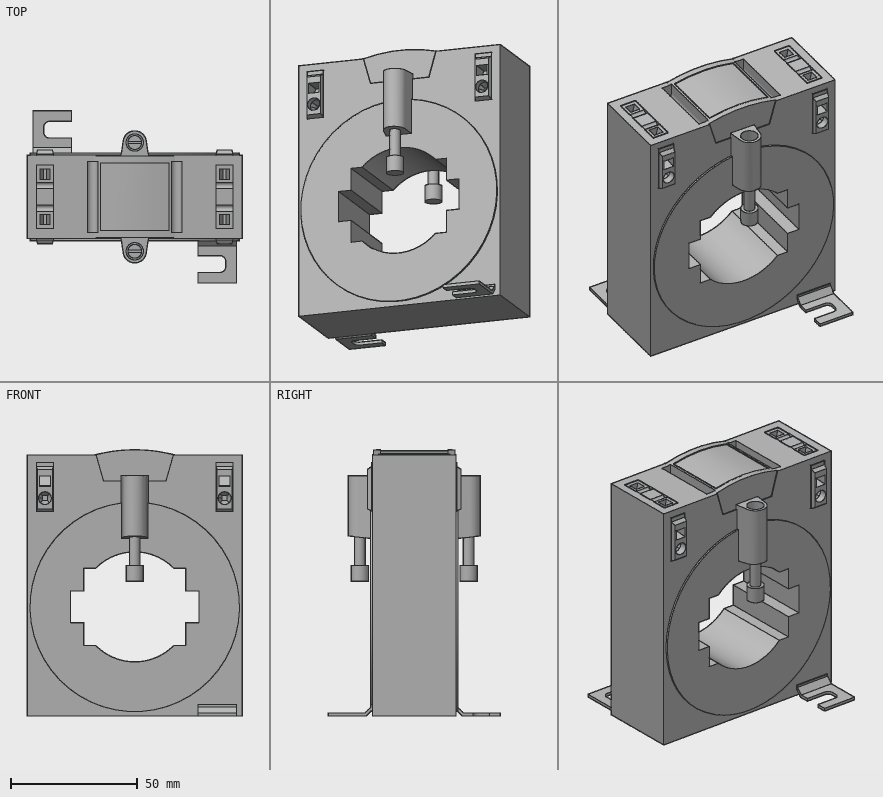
import cadquery as cq
import math


TOTAL_HEIGHT = 105.2
HOUSING_WIDTH = 85.0
HOUSING_DEPTH = 33.0
SHOULDER_Z = 103.1
CROWN_HALF_WIDTH = 16.0
HALF_DEPTH = HOUSING_DEPTH / 2
CROWN_RISE = TOTAL_HEIGHT - SHOULDER_Z
CROWN_RADIUS = (CROWN_HALF_WIDTH ** 2 + CROWN_RISE ** 2) / (2 * CROWN_RISE)

WINDOW_Z = 43.1
RING_RADIUS = 41.3
RING_HEIGHT = 0.8
WINDOW_RADIUS = 21.7
WIDE_BAR = (50.7, 12.4)
TALL_BAR = (40.2, 30.4)

TRAPEZOID_DEPTH = 0.4
TRAPEZOID_BOTTOM_Z = 92.8
TRAPEZOID_BOTTOM_HALF = 12.3
TRAPEZOID_TOP_HALF = 15.3

LABEL_WIDTH = 26.9
LABEL_LENGTH = 26.7
LABEL_DEPTH = 0.4
CROWN_SLOT_X = 16.6
CROWN_SLOT_WIDTH = 4.2
CROWN_SLOT_LENGTH = 28.1
CROWN_SLOT_DEPTH = 6.3

SCREW_Y = 21.5
LUG_TIP_RADIUS = 4.6
LUG_ROOT_HALF = 5.5
LUG_TOP_Z = 94.9
LUG_TIP_BOTTOM_Z = 71.1
LUG_ROOT_BOTTOM_Z = 69.9
ACCESS_DIAMETER = 6.8
ACCESS_DEPTH = 8.4
HEAD_DIAMETER = 5.5
HEAD_HEIGHT = 4.2
HEAD_SLOT_WIDTH = 0.9
HEAD_SLOT_DEPTH = 1.0
SHANK_DIAMETER = 4.3
TIP_DIAMETER = 6.8
TIP_TOP_Z = 59.5
TIP_BOTTOM_Z = 53.2
HEAD_TOP_Z = LUG_TOP_Z - ACCESS_DEPTH
HEAD_BOTTOM_Z = HEAD_TOP_Z - HEAD_HEIGHT

FOOT_INNER_X = 24.9
FOOT_WIDTH = 15.3
FEET_SPAN = 68.0
FOOT_END_Y = FEET_SPAN / 2
FOOT_THICKNESS = 1.3
FOOT_BEND_Y = 18.9
FOOT_BEND_ANGLE = 45
FOOT_FLANGE_THICKNESS = 0.5
FOOT_TOP_Z = 4.5
FOOT_SLOT_WIDTH = 6.5
FOOT_SLOT_LENGTH = 10.9
FOOT_SLOT_Y = 26.5
FOOT_SLOT_CORNER = 2.2

TERMINAL_X = 35.4
TERMINAL_WIDTH = 6.8
TERMINAL_INNER_Y = 5.7
TERMINAL_OUTER_Y = 12.5
TERMINAL_TOP_RECESS = 0.3
TERMINAL_TOP_Z = SHOULDER_Z - TERMINAL_TOP_RECESS
NOSE_TOP_Z = 100.1
NOSE_BOTTOM_Z = 80.8
NOSE_BAND_HEIGHT = 0.4
NOSE_STEP_Y = HALF_DEPTH + NOSE_BAND_HEIGHT
NOSE_FACE_Y = 18.5
NOSE_BAND_BOTTOM_Z = 98.5
NOSE_FACE_TOP_Z = 97.4
NOSE_FACE_BOTTOM_Z = 81.8
NOSE_SIDE_TAPER = 0.5

WIRE_WIDTH = 4.4
WIRE_TOP_Z = 94.8
WIRE_BOTTOM_Z = 90.7
WIRE_DEPTH = 8.4
WIRE_RAMP_Z = 91.1
WIRE_RAMP_DEPTH = 5.3
RELEASE_RADIUS = 2.5
RELEASE_Z = 86.0
RELEASE_FLOOR = 2.0
RELEASE_ROUND_DEPTH = 3.2
RELEASE_TAPER_DEPTH = 3.2
TEST_SIZE = 4.0
TEST_Y = 8.9
TEST_FLOOR_WIDTH = 1.3
TEST_DEPTH = 6.3

TROUGH_INNER_Y = 3.3
TROUGH_DEPTH = 0.9


def ring():
    length = HOUSING_DEPTH + 2 * RING_HEIGHT
    return (
        cq.Workplane("XZ", origin=(0, length / 2, WINDOW_Z))
        .circle(RING_RADIUS)
        .extrude(length)
    )


def window():
    length = HOUSING_DEPTH + 4 * RING_HEIGHT
    plane = cq.Workplane("XZ", origin=(0, length / 2, WINDOW_Z))
    opening = plane.rect(*WIDE_BAR).extrude(length).union(plane.rect(*TALL_BAR).extrude(length))
    barrel = plane.circle(WINDOW_RADIUS).extrude(length)
    strip = plane.rect(TALL_BAR[0], 2 * WINDOW_RADIUS).extrude(length)
    return opening.union(barrel.intersect(strip))


def crowned_block():
    half = HOUSING_WIDTH / 2
    return (
        cq.Workplane("XZ", origin=(0, HALF_DEPTH, 0))
        .moveTo(-half, 0)
        .lineTo(half, 0)
        .lineTo(half, SHOULDER_Z)
        .lineTo(CROWN_HALF_WIDTH, SHOULDER_Z)
        .threePointArc((0, TOTAL_HEIGHT), (-CROWN_HALF_WIDTH, SHOULDER_Z))
        .lineTo(-half, SHOULDER_Z)
        .close()
        .extrude(HOUSING_DEPTH)
    )


def trapezoid_recess(side):
    """Shallow recess under the crown; its sides run on at the same slope past the top."""
    slope = (TRAPEZOID_TOP_HALF - TRAPEZOID_BOTTOM_HALF) / (SHOULDER_Z - TRAPEZOID_BOTTOM_Z)
    end_z = TOTAL_HEIGHT
    end_half = TRAPEZOID_BOTTOM_HALF + slope * (end_z - TRAPEZOID_BOTTOM_Z)
    return (
        cq.Workplane("XZ", origin=(0, side * HALF_DEPTH, 0))
        .polyline([
            (-TRAPEZOID_BOTTOM_HALF, TRAPEZOID_BOTTOM_Z),
            (TRAPEZOID_BOTTOM_HALF, TRAPEZOID_BOTTOM_Z),
            (end_half, end_z),
            (-end_half, end_z),
        ])
        .close()
        .extrude(side * TRAPEZOID_DEPTH)
    )


def label_recess():
    """Field of even depth below the curved crown."""
    floor_radius = CROWN_RADIUS - LABEL_DEPTH
    plane = cq.Workplane("XZ", origin=(0, LABEL_LENGTH / 2, TOTAL_HEIGHT - CROWN_RADIUS))
    shell = plane.circle(CROWN_RADIUS + LABEL_DEPTH).circle(floor_radius).extrude(LABEL_LENGTH)
    field = cq.Workplane("XY", origin=(0, 0, TOTAL_HEIGHT)).box(
        LABEL_WIDTH, LABEL_LENGTH, 2 * (CROWN_RISE + LABEL_DEPTH)
    )
    return shell.intersect(field)


def crown_slot(side):
    radius = CROWN_SLOT_WIDTH / 2
    x = side * CROWN_SLOT_X
    arc_z = SHOULDER_Z - CROWN_SLOT_DEPTH + radius
    return (
        cq.Workplane("XZ", origin=(x, CROWN_SLOT_LENGTH / 2, 0))
        .moveTo(-radius, TOTAL_HEIGHT)
        .lineTo(-radius, arc_z)
        .threePointArc((0, arc_z - radius), (radius, arc_z))
        .lineTo(radius, TOTAL_HEIGHT)
        .close()
        .extrude(CROWN_SLOT_LENGTH)
    )


def terminal_bridge_recess(side):
    """Recess over the bridge between two terminals, with a round trough next to each terminal."""
    x = side * TERMINAL_X
    recess = (
        cq.Workplane("XY", origin=(x, 0, TERMINAL_TOP_Z))
        .rect(TERMINAL_WIDTH, 2 * TERMINAL_OUTER_Y)
        .extrude(TERMINAL_TOP_RECESS)
    )
    middle_y = (TROUGH_INNER_Y + TERMINAL_INNER_Y) / 2
    for end in (-1, 1):
        trough = (
            cq.Workplane("YZ", origin=(x - TERMINAL_WIDTH / 2, 0, 0))
            .moveTo(end * TROUGH_INNER_Y, TERMINAL_TOP_Z)
            .threePointArc(
                (end * middle_y, TERMINAL_TOP_Z - TROUGH_DEPTH),
                (end * TERMINAL_INNER_Y, TERMINAL_TOP_Z),
            )
            .close()
            .extrude(TERMINAL_WIDTH)
        )
        recess = recess.union(trough)
    return recess


def lug():
    """Clamping lug on the +Y face: tapered sides that run tangent into a round tip."""
    root_y = HALF_DEPTH - TRAPEZOID_DEPTH
    reach = SCREW_Y - root_y
    root_distance = math.hypot(LUG_ROOT_HALF, reach)
    tangent_angle = math.acos(LUG_TIP_RADIUS / root_distance) - math.atan2(reach, LUG_ROOT_HALF)
    tangent_x = LUG_TIP_RADIUS * math.cos(tangent_angle)
    tangent_y = SCREW_Y + LUG_TIP_RADIUS * math.sin(tangent_angle)
    tip_y = SCREW_Y + LUG_TIP_RADIUS

    outline = (
        cq.Workplane("XY", origin=(0, 0, LUG_ROOT_BOTTOM_Z))
        .moveTo(-LUG_ROOT_HALF, root_y)
        .lineTo(LUG_ROOT_HALF, root_y)
        .lineTo(tangent_x, tangent_y)
        .threePointArc((0, tip_y), (-tangent_x, tangent_y))
        .close()
        .extrude(LUG_TOP_Z - LUG_ROOT_BOTTOM_Z)
    )
    sloped_underside = (
        cq.Workplane("YZ", origin=(-LUG_ROOT_HALF, 0, 0))
        .polyline([
            (root_y, LUG_ROOT_BOTTOM_Z),
            (tip_y, LUG_ROOT_BOTTOM_Z),
            (tip_y, LUG_TIP_BOTTOM_Z),
        ])
        .close()
        .extrude(2 * LUG_ROOT_HALF)
    )
    access = (
        cq.Workplane("XY", origin=(0, SCREW_Y, HEAD_TOP_Z))
        .circle(ACCESS_DIAMETER / 2)
        .extrude(ACCESS_DEPTH)
    )
    return outline.cut(sloped_underside).cut(access).cut(screw_blank())


def screw_blank():
    """Screw on the +Y side without its driver slot."""
    def stage(diameter, bottom_z, top_z):
        return (
            cq.Workplane("XY", origin=(0, SCREW_Y, bottom_z))
            .circle(diameter / 2)
            .extrude(top_z - bottom_z)
        )

    head = stage(HEAD_DIAMETER, HEAD_BOTTOM_Z, HEAD_TOP_Z)
    shank = stage(SHANK_DIAMETER, TIP_TOP_Z, HEAD_BOTTOM_Z)
    tip = stage(TIP_DIAMETER, TIP_BOTTOM_Z, TIP_TOP_Z)
    return head.union(shank).union(tip)


def screw():
    driver_slot = cq.Workplane("XY", origin=(0, SCREW_Y, HEAD_TOP_Z)).box(
        HEAD_DIAMETER, HEAD_SLOT_WIDTH, 2 * HEAD_SLOT_DEPTH
    )
    return screw_blank().cut(driver_slot)


def foot():
    """Bent strip at the (-X, +Y) corner with a slot open towards +X."""
    flange_y = HALF_DEPTH + FOOT_FLANGE_THICKNESS
    bend_top_y = FOOT_BEND_Y + FOOT_THICKNESS * math.tan(math.radians(FOOT_BEND_ANGLE / 2))
    bend_slope = math.tan(math.radians(FOOT_BEND_ANGLE))
    strip = (
        cq.Workplane("YZ", origin=(-FOOT_INNER_X - FOOT_WIDTH, 0, 0))
        .polyline([
            (FOOT_END_Y, 0),
            (FOOT_END_Y, FOOT_THICKNESS),
            (bend_top_y, FOOT_THICKNESS),
            (flange_y, FOOT_THICKNESS + bend_slope * (bend_top_y - flange_y)),
            (flange_y, FOOT_TOP_Z),
            (HALF_DEPTH, FOOT_TOP_Z),
            (HALF_DEPTH, bend_slope * (FOOT_BEND_Y - HALF_DEPTH)),
            (FOOT_BEND_Y, 0),
        ])
        .close()
        .extrude(FOOT_WIDTH)
    )
    slot = (
        cq.Workplane("XY", origin=(-FOOT_INNER_X - FOOT_SLOT_LENGTH / 2, FOOT_SLOT_Y, 0))
        .rect(FOOT_SLOT_LENGTH, FOOT_SLOT_WIDTH)
        .extrude(FOOT_THICKNESS)
        .edges("|Z and <X")
        .fillet(FOOT_SLOT_CORNER)
    )
    return strip.cut(slot)


def terminal_blank():
    """Terminal on the +Y side, centred on X = 0, without its openings."""
    half = TERMINAL_WIDTH / 2
    profile = (
        cq.Workplane("YZ", origin=(-half, 0, 0))
        .polyline([
            (TERMINAL_INNER_Y, NOSE_BOTTOM_Z),
            (HALF_DEPTH, NOSE_BOTTOM_Z),
            (NOSE_FACE_Y, NOSE_FACE_BOTTOM_Z),
            (NOSE_FACE_Y, NOSE_FACE_TOP_Z),
            (NOSE_STEP_Y, NOSE_BAND_BOTTOM_Z),
            (NOSE_STEP_Y, NOSE_TOP_Z),
            (TERMINAL_OUTER_Y, NOSE_TOP_Z),
            (TERMINAL_OUTER_Y, TERMINAL_TOP_Z),
            (TERMINAL_INNER_Y, TERMINAL_TOP_Z),
        ])
        .close()
        .extrude(TERMINAL_WIDTH)
    )
    face_half = half - NOSE_SIDE_TAPER
    plan = (
        cq.Workplane("XY", origin=(0, 0, NOSE_BOTTOM_Z))
        .polyline([
            (-half, TERMINAL_INNER_Y),
            (half, TERMINAL_INNER_Y),
            (half, NOSE_STEP_Y),
            (face_half, NOSE_FACE_Y),
            (-face_half, NOSE_FACE_Y),
            (-half, NOSE_STEP_Y),
        ])
        .close()
        .extrude(TERMINAL_TOP_Z - NOSE_BOTTOM_Z)
    )
    return profile.intersect(plan)


def terminal():
    wire_entry = (
        cq.Workplane("YZ", origin=(-WIRE_WIDTH / 2, 0, 0))
        .polyline([
            (NOSE_FACE_Y, WIRE_BOTTOM_Z),
            (NOSE_FACE_Y, WIRE_TOP_Z),
            (NOSE_FACE_Y - WIRE_DEPTH, WIRE_TOP_Z),
            (NOSE_FACE_Y - WIRE_RAMP_DEPTH, WIRE_RAMP_Z),
        ])
        .close()
        .extrude(WIRE_WIDTH)
    )
    release = (
        cq.Workplane("XZ", origin=(0, NOSE_FACE_Y, RELEASE_Z))
        .circle(RELEASE_RADIUS)
        .extrude(RELEASE_ROUND_DEPTH)
        .faces("<Y")
        .workplane(centerOption="CenterOfBoundBox")
        .circle(RELEASE_RADIUS)
        .workplane(offset=RELEASE_TAPER_DEPTH)
        .rect(RELEASE_FLOOR, RELEASE_FLOOR)
        .loft(combine=True)
    )
    test_opening = (
        cq.Workplane("XZ", origin=(0, TEST_Y + TEST_SIZE / 2, TERMINAL_TOP_Z))
        .polyline([
            (-TEST_SIZE / 2, 0),
            (TEST_SIZE / 2, 0),
            (TEST_FLOOR_WIDTH / 2, -TEST_DEPTH),
            (-TEST_FLOOR_WIDTH / 2, -TEST_DEPTH),
        ])
        .close()
        .extrude(TEST_SIZE)
    )
    return terminal_blank().cut(wire_entry).cut(release).cut(test_opening)


def half_turn(body):
    return body.rotate((0, 0, 0), (0, 0, 1), 180)


def at_four_corners(body):
    """Copies of a +Y side body at both ends of both faces."""
    copies = []
    for oriented in (body, half_turn(body)):
        for side in (-1, 1):
            copies.append(oriented.translate((side * TERMINAL_X, 0, 0)))
    return copies


def housing():
    body = crowned_block().union(ring())
    for side in (-1, 1):
        body = body.cut(trapezoid_recess(side))
        body = body.cut(crown_slot(side))
        body = body.cut(terminal_bridge_recess(side))
    body = body.cut(label_recess())
    for pocket in at_four_corners(terminal_blank()):
        body = body.cut(pocket)
    body = body.union(lug()).union(half_turn(lug()))
    return body.cut(window())


screws = [screw(), half_turn(screw())]
feet = [foot(), half_turn(foot())]
terminals = at_four_corners(terminal())

result = cq.Compound.makeCompound([
    housing().val(),
    *[body.val() for body in screws + feet + terminals],
])